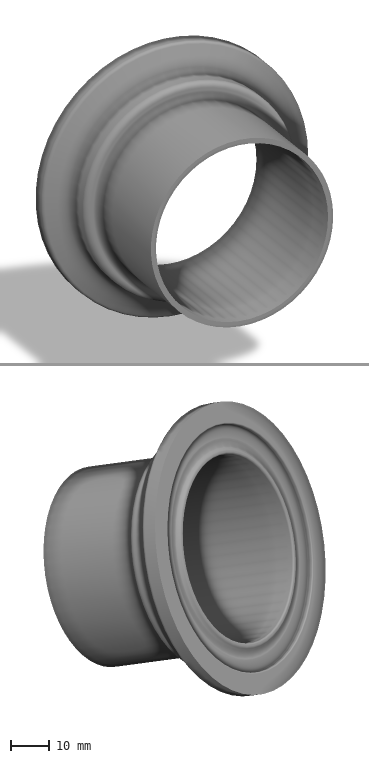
import cadquery as cq
import math

total_length = 44.5
flange_diameter = 77.5
collar_diameter = 62.0
tube_diameter = 53.0
bore_diameter = 50.0

flange_back_angle = 20.0
flange_rim_corner = 4.13
flange_rim_radius = 1.0
flange_root_radius = 2.0
collar_end = 14.0
collar_edge_radius = 1.6
tube_root_radius = 1.6

recess_diameter = 65.7
recess_depth = 1.5
recess_edge_radius = 0.35
recess_root_radius = 0.35

groove_diameter = 56.6
groove_bottom = 1.65
groove_radius = 2.6
groove_edge_radius = 1.2

lip_face = 0.57
lip_outer_radius = 1.0
lip_bore_radius = 0.5


def point_on_circle(center, toward, radius):
    """Point at the given radius from a center, in the direction of another point."""
    distance = math.dist(center, toward)
    return tuple(c + (t - c) * radius / distance for c, t in zip(center, toward))


def add_rounded_corners(path, start, corners, end):
    """Continue the path from start to end through (x, r, rounding radius) corners."""
    previous = cq.Vector(*start)
    for index, (x, r, radius) in enumerate(corners):
        corner = cq.Vector(x, r)
        following = corners[index + 1][:2] if index + 1 < len(corners) else end
        back = (previous - corner).normalized()
        ahead = (cq.Vector(*following) - corner).normalized()
        half_angle = back.getAngle(ahead) / 2
        tangent_length = radius / math.tan(half_angle)
        middle_distance = radius / math.sin(half_angle) - radius
        arc_start = corner + back * tangent_length
        arc_middle = corner + (back + ahead).normalized() * middle_distance
        arc_end = corner + ahead * tangent_length
        path = path.lineTo(arc_start.x, arc_start.y)
        path = path.threePointArc(arc_middle.toTuple()[:2], arc_end.toTuple()[:2])
        previous = corner
    return path.lineTo(*end)


def add_outside(path):
    """Flange rim, sloping flange back, collar and tube, from the face to the tube end."""
    rim_r = flange_diameter / 2
    collar_r = collar_diameter / 2
    tube_r = tube_diameter / 2
    slope_length = (rim_r - collar_r) * math.tan(math.radians(flange_back_angle))
    corners = [
        (flange_rim_corner, rim_r, flange_rim_radius),
        (flange_rim_corner + slope_length, collar_r, flange_root_radius),
        (collar_end, collar_r, collar_edge_radius),
        (collar_end, tube_r, tube_root_radius),
    ]
    return add_rounded_corners(path, (0, rim_r), corners, (total_length, tube_r))


def groove_rounding(plane_x, radius, side):
    """Start, middle and end of the arc blending the groove into a plane square to X.

    side is +1 for the outer edge of the groove and -1 for the inner edge.
    The start lies on the plane and the end on the groove.
    """
    groove_center = (groove_bottom - groove_radius, groove_diameter / 2)
    center_x = plane_x + radius
    offset_x = center_x - groove_center[0]
    offset_r = math.sqrt((groove_radius + radius) ** 2 - offset_x ** 2)
    center = (center_x, groove_center[1] + side * offset_r)
    start = (plane_x, center[1])
    end = point_on_circle(center, groove_center, radius)
    chord_middle = ((start[0] + end[0]) / 2, (start[1] + end[1]) / 2)
    middle = point_on_circle(center, chord_middle, radius)
    return start, middle, end


def add_bore_and_lip(path):
    """Bore, lip and gasket groove, from the tube end to the recess floor."""
    bore_r = bore_diameter / 2
    lip_start, lip_middle, lip_end = groove_rounding(lip_face, lip_outer_radius, -1)
    edge_start, edge_middle, edge_end = groove_rounding(recess_depth, groove_edge_radius, 1)
    bore_end = (total_length, bore_r)
    lip_corner = (lip_face, bore_r, lip_bore_radius)
    path = path.lineTo(*bore_end)
    path = add_rounded_corners(path, bore_end, [lip_corner], lip_start)
    path = path.threePointArc(lip_middle, lip_end)
    path = path.threePointArc((groove_bottom, groove_diameter / 2), edge_end)
    return path.threePointArc(edge_middle, edge_start)


def add_recess(path):
    """Recess floor and wall, from the groove to the clamping face."""
    recess_r = recess_diameter / 2
    floor_start = (recess_depth, groove_diameter / 2)
    corners = [
        (recess_depth, recess_r, recess_root_radius),
        (0, recess_r, recess_edge_radius),
    ]
    return add_rounded_corners(path, floor_start, corners, (0, flange_diameter / 2))


def make_ferrule():
    outline = cq.Workplane("XY").moveTo(0, flange_diameter / 2)
    outline = add_outside(outline)
    outline = add_bore_and_lip(outline)
    outline = add_recess(outline)
    return outline.close().revolve(360, (0, 0, 0), (1, 0, 0))


result = make_ferrule()